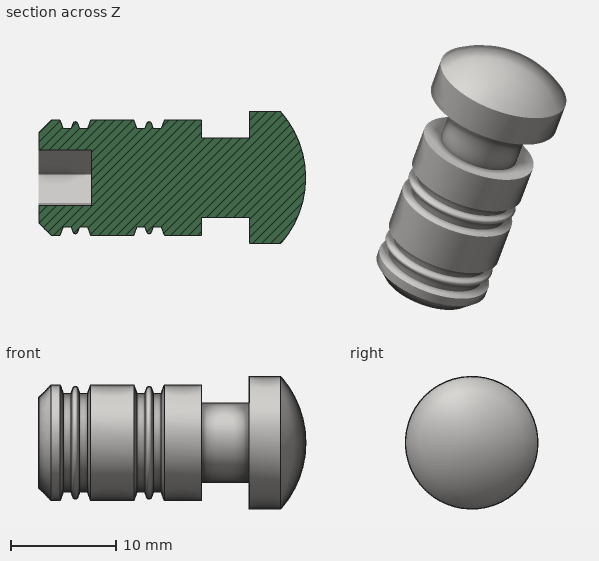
import cadquery as cq
import math


body_radius = 5.5
body_end = 15.5
entry_chamfer = 1.2
neck_radius = 3.8
head_start = 20.0
head_radius = 6.3
head_rim_end = 23.0
dome_height = 2.4

groove_centres = (3.5, 10.5)
groove_floor_radius = 4.7
groove_floor_width = 2.3
flank_angle = math.radians(20)
ridge_top_radius = 5.35
ridge_crest_radius = 0.25

socket_sides = 6
socket_corner_diameter = 6.0
socket_depth = 5.0
socket_turn = 6.0


def add_groove(outline, centre):
    """Continue the outline along +X through one groove and its ridge."""
    half_floor = groove_floor_width / 2
    half_mouth = half_floor + (body_radius - groove_floor_radius) * math.tan(flank_angle)

    crest_centre_radius = ridge_top_radius - ridge_crest_radius
    half_crest = ridge_crest_radius * math.cos(flank_angle)
    crest_edge_radius = crest_centre_radius + ridge_crest_radius * math.sin(flank_angle)
    flank_height = crest_edge_radius - groove_floor_radius
    half_ridge = half_crest + flank_height * math.tan(flank_angle)

    return (
        outline.lineTo(centre - half_mouth, body_radius)
        .lineTo(centre - half_floor, groove_floor_radius)
        .lineTo(centre - half_ridge, groove_floor_radius)
        .lineTo(centre - half_crest, crest_edge_radius)
        .threePointArc((centre, ridge_top_radius), (centre + half_crest, crest_edge_radius))
        .lineTo(centre + half_ridge, groove_floor_radius)
        .lineTo(centre + half_floor, groove_floor_radius)
        .lineTo(centre + half_mouth, body_radius)
    )


def make_turned_body():
    """Revolve the half outline about X, from the socket end to the domed head."""
    outline = (
        cq.Workplane("XY")
        .lineTo(0, body_radius - entry_chamfer)
        .lineTo(entry_chamfer, body_radius)
    )
    for centre in groove_centres:
        outline = add_groove(outline, centre)

    dome_radius = (head_radius**2 + dome_height**2) / (2 * dome_height)
    dome_tip = head_rim_end + dome_height
    dome_centre = dome_tip - dome_radius
    half_angle = math.asin(head_radius / dome_radius) / 2
    dome_middle = (
        dome_centre + dome_radius * math.cos(half_angle),
        dome_radius * math.sin(half_angle),
    )

    outline = (
        outline.lineTo(body_end, body_radius)
        .lineTo(body_end, neck_radius)
        .lineTo(head_start, neck_radius)
        .lineTo(head_start, head_radius)
        .lineTo(head_rim_end, head_radius)
        .threePointArc(dome_middle, (dome_tip, 0))
        .close()
    )
    return outline.revolve(360, (0, 0, 0), (1, 0, 0))


def make_socket():
    """Hexagonal prism entering from the X = 0 face, turned about the X axis."""
    corner_up_angle = 90
    socket = cq.Workplane("YZ").polygon(socket_sides, socket_corner_diameter).extrude(socket_depth)
    return socket.rotate((0, 0, 0), (1, 0, 0), corner_up_angle + socket_turn)


result = make_turned_body().cut(make_socket())